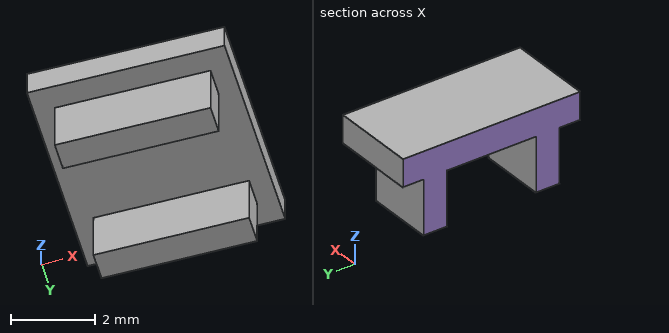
import cadquery as cq

plate_length_x = 4.9
plate_width_y = 5.2
plate_thickness = 0.8

total_height = 2.37
leg_length_x = 3.86
leg_thickness_y = 0.7
legs_outer_span_y = 4.0

leg_height = total_height - plate_thickness
leg_offset_y = (legs_outer_span_y - leg_thickness_y) / 2


def make_plate():
    """Flat rectangular plate whose underside lies on Z = 0."""
    return cq.Workplane("XY").rect(plate_length_x, plate_width_y).extrude(plate_thickness)


def make_legs():
    """Pair of bars hanging from the underside, mirrored about the XZ plane."""
    leg_centers = [(0, -leg_offset_y), (0, leg_offset_y)]
    return (
        cq.Workplane("XY")
        .pushPoints(leg_centers)
        .rect(leg_length_x, leg_thickness_y)
        .extrude(-leg_height)
    )


result = make_plate().union(make_legs())